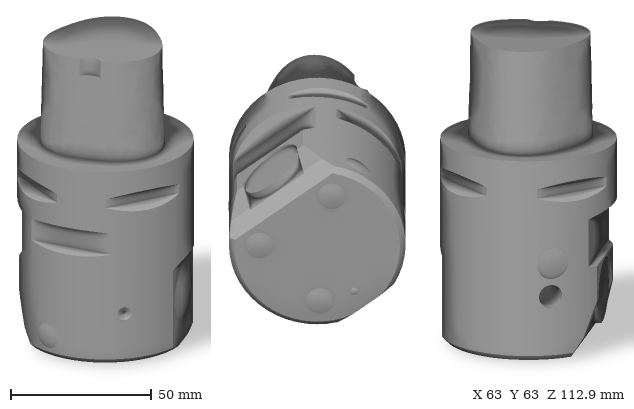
import cadquery as cq
import math

body_diameter = 63.0
body_radius = body_diameter / 2
body_length = 74.2
bottom_chamfer = 2.0
outside_radius = body_radius + 1

shank_length = 38.0
shank_diameter = 44.0
shank_taper = 1 / 20
shank_lobe_height = 1.5
shank_points = 36
keyway_diameter = 10.0
keyway_depth = 6.5
keyway_inner_edge = -17.7

grip_azimuths = (45, 135, 225, 315)
grip_distance = 27.8
grip_center_z = -12.2
grip_floor_height = 3.4
grip_wall_angle = 30

recess_wall_angle = 15
front_recess_azimuth = 260
front_recess_distance = 27.2
front_recess_top_z = -23.8
front_recess_height = 8.1
side_recess_distance = 25.5
side_recess_height = 17.7
side_recess_top_z = -23.9

seat_distance = 27.85
seat_top_z = -42.2
slope_top_z = -55.1
slope_break_x = -24.1
slope_break_z = -67.4
slope_bottom_x = -19.9

pocket_diameter = 24.0
pocket_center_z = -55.1
pocket_floor_x = -23.7
disc_diameter = 23.84
disc_face_x = -26.8

back_flat_x = 28.85
back_flat_top_z = -42.4
cover_diameter = 22.0
cover_height = 1.6
cover_center_z = -55.2

nozzle_diameter = 10.0
nozzle_dome_height = 0.74
nozzle_seat_depth = 6.0
side_nozzle_azimuth = 244.8
side_nozzle_z = -65.9
tilted_nozzle_azimuth = 117.5
tilted_nozzle_z = -38.4
tilted_nozzle_angle = 6
tilted_nozzle_diameter = 11.6
end_nozzle_centers = ((-12.9, 16.1), (-12.9, -16.1), (17.5, 12.1))
button_diameter = 3.0
button_height = 0.3
button_center = (22.0, 0)

side_hole_diameter = 8.5
side_hole_azimuth = 116
side_hole_z = -50.4
side_hole_depth = 15.0
port_azimuth = 299
port_z = -55.0
port_mouth_diameter = 6.25
port_mouth_depth = 0.4
port_cone_diameter = 5.01
port_cone_depth = 1.2
port_bore_diameter = 1.5
port_bore_depth = 2.0


def outward_plane(azimuth, distance, z, tilt_down=0):
    """Plane at a distance from the Z axis whose normal points outwards, optionally tilted down."""
    angle = math.radians(azimuth)
    tilt = math.radians(tilt_down)
    radial = (math.cos(angle), math.sin(angle))
    origin = (distance * radial[0], distance * radial[1], z)
    normal = (radial[0] * math.cos(tilt), radial[1] * math.cos(tilt), -math.sin(tilt))
    tangent = (-radial[1], radial[0], 0)
    return cq.Plane(origin=origin, xDir=tangent, normal=normal)


def drill(plane, diameter, depth):
    """Cylinder that runs inwards from the plane and also clears everything outside it."""
    return cq.Workplane(plane).workplane(offset=-depth).circle(diameter / 2).extrude(depth + body_radius)


def domed_plug(plane, diameter, dome_height, depth):
    """Cylinder below the plane, closed by a spherical cap above it."""
    radius = diameter / 2
    sphere_radius = (radius**2 + dome_height**2) / (2 * dome_height)
    mid_x = radius / 2
    mid_y = dome_height - sphere_radius + math.sqrt(sphere_radius**2 - mid_x**2)
    section_plane = cq.Plane(plane.origin, plane.xDir, -plane.yDir)
    return (
        cq.Workplane(section_plane)
        .moveTo(0, -depth)
        .lineTo(radius, -depth)
        .lineTo(radius, 0)
        .threePointArc((mid_x, mid_y), (0, dome_height))
        .close()
        .revolve(360, (0, 0), (0, 1))
    )


def wedge_recess(azimuth, distance, center_z, floor_height, wall_angle):
    """Flat-floored recess cut straight across the body, with walls that open outwards."""
    reach = outside_radius - distance
    flare = reach * math.tan(math.radians(wall_angle))
    half = floor_height / 2
    profile = [(0, -half), (reach, -half - flare), (reach, half + flare), (0, half)]
    return (
        cq.Workplane("XZ", origin=(0, 0, center_z))
        .polyline([(distance + x, z) for x, z in profile])
        .close()
        .extrude(body_radius, both=True)
        .rotate((0, 0, 0), (0, 0, 1), azimuth)
    )


def shank_outline_points(diameter):
    """Rounded three-lobe outline with one lobe towards +Y."""
    points = []
    for step in range(shank_points):
        angle = math.radians(90 + 360 * step / shank_points)
        radius = diameter / 2 - shank_lobe_height * math.sin(3 * angle)
        points.append((radius * math.cos(angle), radius * math.sin(angle)))
    return points


def make_shank():
    top_diameter = shank_diameter - shank_taper * shank_length
    shank = (
        cq.Workplane("XY")
        .spline(shank_outline_points(shank_diameter), periodic=True)
        .close()
        .workplane(offset=shank_length)
        .spline(shank_outline_points(top_diameter), periodic=True)
        .close()
        .loft(ruled=True)
    )
    keyway_center_y = keyway_inner_edge - keyway_diameter / 2
    keyway = (
        cq.Workplane("XY", origin=(0, keyway_center_y, shank_length - keyway_depth))
        .circle(keyway_diameter / 2)
        .extrude(keyway_depth)
    )
    return shank.cut(keyway)


def make_body():
    body = cq.Workplane("XY").circle(body_radius).extrude(-body_length)
    return body.faces("<Z").chamfer(bottom_chamfer)


def cut_recesses(body):
    for azimuth in grip_azimuths:
        body = body.cut(
            wedge_recess(azimuth, grip_distance, grip_center_z, grip_floor_height, grip_wall_angle)
        )
    front_center_z = front_recess_top_z - front_recess_height / 2
    body = body.cut(
        wedge_recess(
            front_recess_azimuth,
            front_recess_distance,
            front_center_z,
            front_recess_height,
            recess_wall_angle,
        )
    )
    side_center_z = side_recess_top_z - side_recess_height / 2
    return body.cut(
        wedge_recess(180, side_recess_distance, side_center_z, side_recess_height, recess_wall_angle)
    )


def cut_seat(body):
    waste = (
        cq.Workplane("XZ")
        .polyline([
            (-outside_radius, seat_top_z),
            (-seat_distance, seat_top_z),
            (-seat_distance, slope_top_z),
            (slope_break_x, slope_break_z),
            (slope_bottom_x, -body_length),
            (-outside_radius, -body_length),
        ])
        .close()
        .extrude(body_radius, both=True)
    )
    return body.cut(waste)


def add_disc_pocket(body):
    depth = pocket_floor_x + body_radius
    floor_plane = outward_plane(180, -pocket_floor_x, pocket_center_z)
    round_pocket = cq.Workplane(floor_plane).circle(pocket_diameter / 2).extrude(depth)
    open_height = body_length + pocket_center_z
    open_side = (
        cq.Workplane("XY")
        .box(depth, pocket_diameter, open_height, centered=(False, True, False))
        .translate((-body_radius, 0, -body_length))
    )
    disc = cq.Workplane(floor_plane).circle(disc_diameter / 2).extrude(pocket_floor_x - disc_face_x)
    return body.cut(round_pocket).cut(open_side).union(disc)


def add_back_cover(body):
    waste = (
        cq.Workplane("XZ")
        .polyline([
            (back_flat_x, back_flat_top_z),
            (outside_radius, back_flat_top_z + outside_radius - back_flat_x),
            (outside_radius, -body_length),
            (back_flat_x, -body_length),
        ])
        .close()
        .extrude(body_radius, both=True)
    )
    cover_plane = outward_plane(0, back_flat_x, cover_center_z)
    cover = domed_plug(cover_plane, cover_diameter, cover_height, cover_height)
    return body.cut(waste).union(cover)


def add_side_nozzle(body, azimuth, z, diameter, tilt_down):
    """Set a domed nozzle in the cylinder wall, its rim level with the wall beside it."""
    rim_distance = math.sqrt(body_radius**2 - (diameter / 2) ** 2)
    plane = outward_plane(azimuth, rim_distance, z, tilt_down)
    seat = drill(plane, diameter, nozzle_seat_depth)
    return body.cut(seat).union(domed_plug(plane, diameter, nozzle_dome_height, nozzle_seat_depth))


def add_nozzles(body):
    body = add_side_nozzle(body, side_nozzle_azimuth, side_nozzle_z, nozzle_diameter, 0)
    body = add_side_nozzle(
        body, tilted_nozzle_azimuth, tilted_nozzle_z, tilted_nozzle_diameter, tilted_nozzle_angle
    )
    for x, y in end_nozzle_centers:
        plane = cq.Plane(origin=(x, y, -body_length), normal=(0, 0, -1))
        body = body.union(domed_plug(plane, nozzle_diameter, nozzle_dome_height, nozzle_seat_depth))
    button_plane = cq.Plane(origin=(*button_center, -body_length), normal=(0, 0, -1))
    return body.union(domed_plug(button_plane, button_diameter, button_height, button_height))


def cut_radial_holes(body):
    side_hole_plane = outward_plane(side_hole_azimuth, body_radius, side_hole_z)
    side_hole = drill(side_hole_plane, side_hole_diameter, side_hole_depth)
    port_plane = outward_plane(port_azimuth, body_radius, port_z)
    mouth = drill(port_plane, port_mouth_diameter, port_mouth_depth)
    cone = (
        cq.Workplane(port_plane)
        .workplane(offset=-port_mouth_depth)
        .circle(port_cone_diameter / 2)
        .workplane(offset=-port_cone_depth)
        .circle(port_bore_diameter / 2)
        .loft(ruled=True)
    )
    bore = drill(port_plane, port_bore_diameter, port_mouth_depth + port_cone_depth + port_bore_depth)
    return body.cut(side_hole).cut(mouth).cut(cone).cut(bore)


body = make_body()
body = cut_recesses(body)
body = cut_seat(body)
body = add_disc_pocket(body)
body = add_back_cover(body)
body = add_nozzles(body)
body = cut_radial_holes(body)
result = body.union(make_shank())